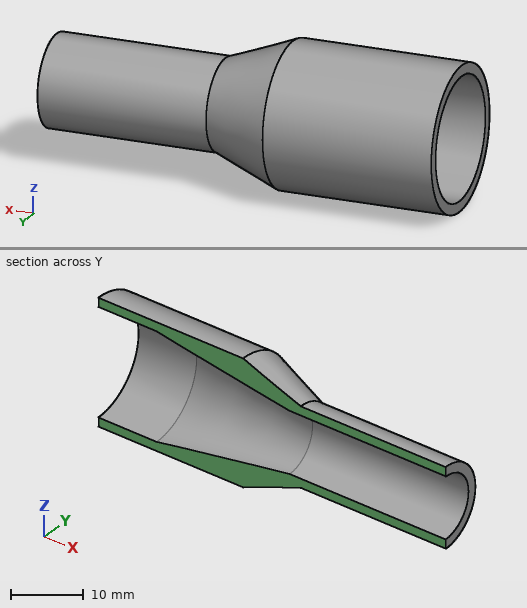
import cadquery as cq

total_length = 60.0
straight_length = 25.0

large_outer_diameter = 21.3
large_bore_diameter = 18.1
small_outer_diameter = 13.5
small_bore_diameter = 10.3

outer_cone_start = straight_length
outer_cone_end = total_length - straight_length

bore_cone_start = 10.0
bore_cone_end = 33.0


def stepped_cone(large_diameter, small_diameter, cone_start, cone_end):
    """Solid of revolution about X: large cylinder, cone, small cylinder."""
    large_radius = large_diameter / 2
    small_radius = small_diameter / 2
    return (
        cq.Workplane("XY")
        .moveTo(0, 0)
        .lineTo(0, large_radius)
        .lineTo(cone_start, large_radius)
        .lineTo(cone_end, small_radius)
        .lineTo(total_length, small_radius)
        .lineTo(total_length, 0)
        .close()
        .revolve(360, (0, 0, 0), (1, 0, 0))
    )


outside = stepped_cone(large_outer_diameter, small_outer_diameter, outer_cone_start, outer_cone_end)
bore = stepped_cone(large_bore_diameter, small_bore_diameter, bore_cone_start, bore_cone_end)

result = outside.cut(bore)